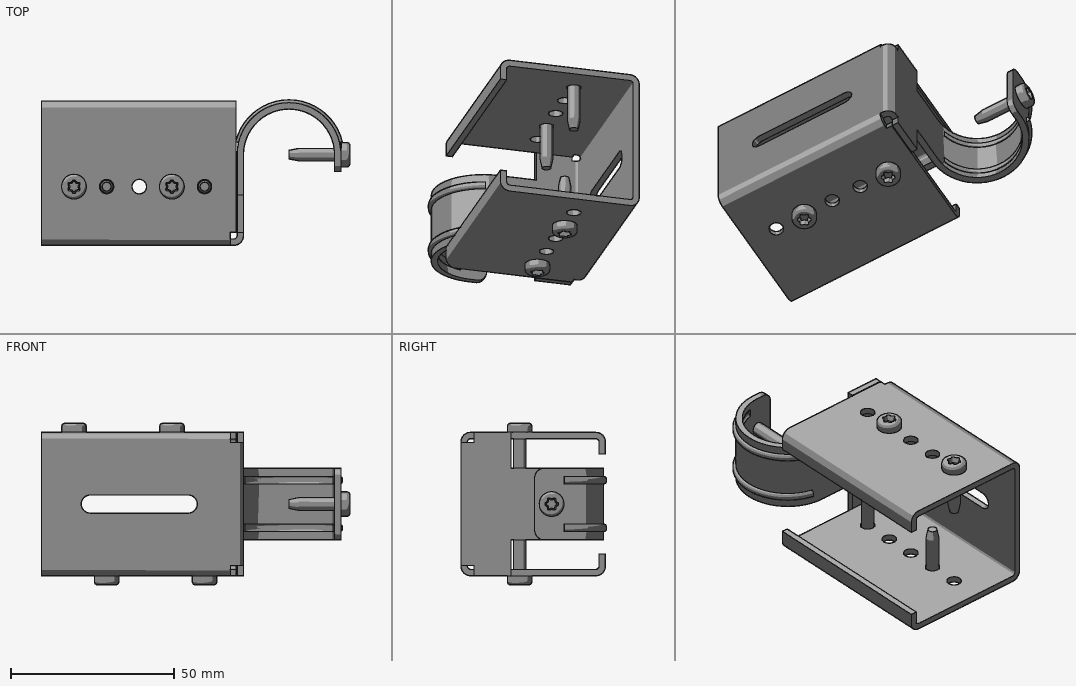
import cadquery as cq
import math

SHEET = 2.0
BEND_OUTER = 3.0
BEND_INNER = BEND_OUTER - SHEET
CHANNEL_LENGTH = 59.7
CHANNEL_DEPTH = 44.3
CHANNEL_HEIGHT = 44.0
LIP_HEIGHT = 6.7
HALF_HEIGHT = CHANNEL_HEIGHT / 2

SLOT_LENGTH = 35.5
SLOT_WIDTH = 5.5
SLOT_X = 30.0

HOLE_DIAMETER = 4.4
HOLE_Y = 18.0
HOLE_PITCH = 10.0
HOLE_COUNT = 5

FLANGE_OUTER_X = 61.95
FLANGE_INNER_X = FLANGE_OUTER_X - SHEET
FLANGE_BACK_Y = 15.4
RELIEF_X = 57.9
RELIEF_Y = 4.0
BEND_STRIP_HEIGHT = 37.8

STRAP_HEIGHT = 22.0
STRAP_INNER_RADIUS = 13.925
STRAP_OUTER_RADIUS = STRAP_INNER_RADIUS + SHEET
HOOK_X = FLANGE_INNER_X + STRAP_OUTER_RADIUS
HOOK_Y = 27.8
STRAP_END_X = HOOK_X + STRAP_OUTER_RADIUS
STRAP_END_Y = 22.6
STRAP_CORNER_RADIUS = 3.0

BEAD_Z = 7.3
BEAD_BASE_WIDTH = 2.3
BEAD_CREST_WIDTH = 0.6
BEAD_TOP_Y = 44.64
BEAD_RISE = BEAD_TOP_Y - HOOK_Y - STRAP_OUTER_RADIUS
BEAD_GROOVE_DEPTH = 0.5
BEAD_ROOT = SHEET / 4
BEAD_END_ANGLE = 13.5

HEAD_DIAMETER = 7.6
HEAD_HEIGHT = 2.8
HEAD_FILLET = 1.1
SHANK_DIAMETER = 3.9
SHANK_LENGTH = 16.0
TIP_DIAMETER = 2.7
TIP_LENGTH = 3.0
SOCKET_TIP_RADIUS = 2.1
SOCKET_VALLEY_RADIUS = 1.65
SOCKET_LOBES = 6
SOCKET_DEPTH = 1.8
SOCKET_TAPER = 12.0
TOP_SCREW_X = (10.0, 40.0)
BOTTOM_SCREW_X = (20.0, 50.0)

DIAGONAL = math.sqrt(0.5)


def polar(radius, degrees):
    angle = math.radians(degrees)
    return (radius * math.cos(angle), radius * math.sin(angle))


def rounded_box(depth, height, radius):
    """Bar along X with its front face at Y = 0 and rounded long edges."""
    bar = cq.Workplane("YZ").center(depth / 2, 0).rect(depth, height).extrude(CHANNEL_LENGTH)
    return bar.edges("|X").fillet(radius)


def make_channel():
    """C-shaped section with inturned lips, cut back at the front end corner."""
    outside = rounded_box(CHANNEL_DEPTH, CHANNEL_HEIGHT, BEND_OUTER)
    inside = rounded_box(CHANNEL_DEPTH - 2 * SHEET, CHANNEL_HEIGHT - 2 * SHEET, BEND_INNER)
    channel = outside.cut(inside.translate((0, SHEET, 0)))
    back_opening = cq.Workplane("XY").box(
        CHANNEL_LENGTH,
        CHANNEL_DEPTH / 2,
        CHANNEL_HEIGHT - 2 * LIP_HEIGHT,
        centered=(False, False, True),
    )
    channel = channel.cut(back_opening.translate((0, CHANNEL_DEPTH / 2, 0)))
    corner_relief = cq.Workplane("XY").box(
        CHANNEL_LENGTH - RELIEF_X, RELIEF_Y, CHANNEL_HEIGHT, centered=(False, False, True)
    )
    return channel.cut(corner_relief.translate((RELIEF_X, 0, 0)))


def make_bend_strip():
    """Front wall turning the corner into the flange."""
    bend_x = FLANGE_OUTER_X - BEND_OUTER
    outline = (
        cq.Workplane("XY")
        .moveTo(RELIEF_X, 0)
        .lineTo(bend_x, 0)
        .threePointArc(
            (bend_x + BEND_OUTER * DIAGONAL, BEND_OUTER * (1 - DIAGONAL)),
            (FLANGE_OUTER_X, BEND_OUTER),
        )
        .lineTo(FLANGE_OUTER_X, RELIEF_Y)
        .lineTo(FLANGE_INNER_X, RELIEF_Y)
        .lineTo(FLANGE_INNER_X, BEND_OUTER)
        .threePointArc(
            (bend_x + BEND_INNER * DIAGONAL, BEND_OUTER - BEND_INNER * DIAGONAL),
            (bend_x, SHEET),
        )
        .lineTo(RELIEF_X, SHEET)
        .close()
    )
    return outline.extrude(BEND_STRIP_HEIGHT / 2, both=True)


def make_flange():
    """Full-height part of the end flange, behind the corner relief."""
    flange = cq.Workplane("XY").box(
        SHEET, FLANGE_BACK_Y - RELIEF_Y, CHANNEL_HEIGHT, centered=(False, False, True)
    )
    return flange.translate((FLANGE_INNER_X, RELIEF_Y, 0))


def make_strap():
    """Straight riser, half-circle hook and a short end with rounded corners."""
    outline = (
        cq.Workplane("XY")
        .moveTo(FLANGE_INNER_X, FLANGE_BACK_Y)
        .lineTo(FLANGE_INNER_X, HOOK_Y)
        .threePointArc((HOOK_X, HOOK_Y + STRAP_OUTER_RADIUS), (STRAP_END_X, HOOK_Y))
        .lineTo(STRAP_END_X, STRAP_END_Y)
        .lineTo(STRAP_END_X - SHEET, STRAP_END_Y)
        .lineTo(STRAP_END_X - SHEET, HOOK_Y)
        .threePointArc((HOOK_X, HOOK_Y + STRAP_INNER_RADIUS), (FLANGE_OUTER_X, HOOK_Y))
        .lineTo(FLANGE_OUTER_X, FLANGE_BACK_Y)
        .close()
    )
    strap = outline.extrude(STRAP_HEIGHT / 2, both=True)
    return strap.edges("|X").edges(">Y").fillet(STRAP_CORNER_RADIUS)


def make_bead(base_radius, rise, z):
    """Ridge with a flat crest and rounded flanks on a cylinder around the hook axis."""
    crest_radius = base_radius + rise
    root_radius = base_radius - BEAD_ROOT
    half_base = BEAD_BASE_WIDTH / 2
    half_crest = BEAD_CREST_WIDTH / 2
    shoulder_radius = base_radius + rise * DIAGONAL
    half_shoulder = half_crest + (half_base - half_crest) * DIAGONAL
    profile = (
        cq.Workplane("XZ")
        .moveTo(root_radius, -half_base)
        .lineTo(base_radius, -half_base)
        .threePointArc((shoulder_radius, -half_shoulder), (crest_radius, -half_crest))
        .lineTo(crest_radius, half_crest)
        .threePointArc((shoulder_radius, half_shoulder), (base_radius, half_base))
        .lineTo(root_radius, half_base)
        .close()
    )
    ridge = profile.revolve(180 - 2 * BEAD_END_ANGLE, (0, 0), (0, 1))
    ridge = ridge.rotate((0, 0, 0), (0, 0, 1), BEAD_END_ANGLE)
    return ridge.translate((HOOK_X, HOOK_Y, z))


def make_bracket():
    """Channel, flange and strap as one folded sheet, with beads, slot and holes."""
    bracket = make_channel().union(make_bend_strip()).union(make_flange()).union(make_strap())
    for z in (-BEAD_Z, BEAD_Z):
        bracket = bracket.union(make_bead(STRAP_OUTER_RADIUS, BEAD_RISE, z))
        bracket = bracket.cut(make_bead(STRAP_INNER_RADIUS, BEAD_GROOVE_DEPTH, z))
    slot = cq.Workplane("XZ").center(SLOT_X, 0).slot2D(SLOT_LENGTH, SLOT_WIDTH).extrude(-SHEET)
    hole_positions = [(HOLE_PITCH * (i + 1), HOLE_Y) for i in range(HOLE_COUNT)]
    holes = (
        cq.Workplane("XY")
        .pushPoints(hole_positions)
        .circle(HOLE_DIAMETER / 2)
        .extrude(HALF_HEIGHT, both=True)
    )
    clamp_hole = (
        cq.Workplane("YZ", origin=(STRAP_END_X, HOOK_Y, 0))
        .circle(SHANK_DIAMETER / 2)
        .extrude(-STRAP_OUTER_RADIUS)
    )
    return bracket.cut(slot).cut(holes).cut(clamp_hole)


def make_socket():
    """Six-lobed recess with one lobe pointing along +Y."""
    lobe_angle = 360 / SOCKET_LOBES
    mean_radius = (SOCKET_TIP_RADIUS + SOCKET_VALLEY_RADIUS) / 2
    star = cq.Workplane("XY", origin=(0, 0, HEAD_HEIGHT))
    star = star.moveTo(*polar(mean_radius, 90 - lobe_angle / 4))
    for lobe in range(SOCKET_LOBES):
        tip = 90 + lobe * lobe_angle
        valley = tip + lobe_angle / 2
        star = star.threePointArc(polar(SOCKET_TIP_RADIUS, tip), polar(mean_radius, tip + lobe_angle / 4))
        star = star.threePointArc(
            polar(SOCKET_VALLEY_RADIUS, valley), polar(mean_radius, valley + lobe_angle / 4)
        )
    return star.close().extrude(-SOCKET_DEPTH, taper=SOCKET_TAPER)


def make_screw():
    """Screw pointing down, with the underside of its head at Z = 0."""
    head = cq.Workplane("XY").circle(HEAD_DIAMETER / 2).extrude(HEAD_HEIGHT)
    head = head.faces(">Z").edges().fillet(HEAD_FILLET).cut(make_socket())
    shank = (
        cq.Workplane("XZ")
        .lineTo(SHANK_DIAMETER / 2, 0)
        .lineTo(SHANK_DIAMETER / 2, TIP_LENGTH - SHANK_LENGTH)
        .lineTo(TIP_DIAMETER / 2, -SHANK_LENGTH)
        .lineTo(0, -SHANK_LENGTH)
        .close()
        .revolve(360, (0, 0), (0, 1))
    )
    return head.union(shank)


bracket = make_bracket()

screws = []
for x in TOP_SCREW_X:
    screws.append(make_screw().translate((x, HOLE_Y, HALF_HEIGHT)))
for x in BOTTOM_SCREW_X:
    upturned = make_screw().rotate((0, 0, 0), (1, 0, 0), 180)
    screws.append(upturned.translate((x, HOLE_Y, -HALF_HEIGHT)))

clamp_screw = make_screw().rotate((0, 0, 0), (0, 1, 0), 90).translate((STRAP_END_X, HOOK_Y, 0))

result = cq.Compound.makeCompound(
    [bracket.val(), *[screw.val() for screw in screws], clamp_screw.val()]
)